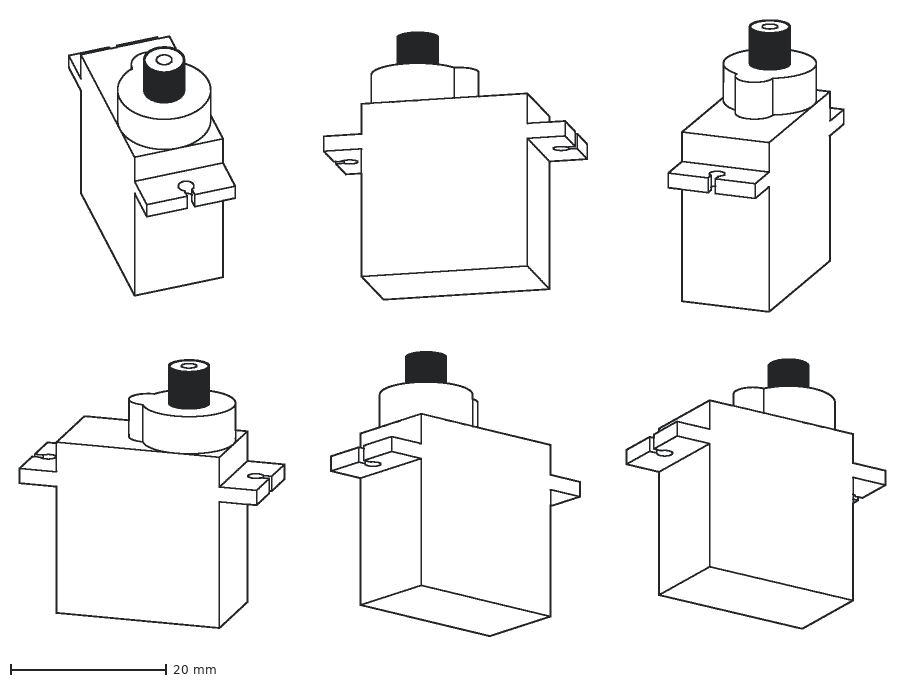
import cadquery as cq
import math

case_length = 22.0
case_width = 12.0
case_height = 23.0

ear_overhang = 5.0
ear_thickness = 2.0
ear_bottom = 17.0
screw_hole_diameter = 2.0
screw_hole_inset = 2.0
screw_slot_width = 1.0

housing_height = 5.0
housing_radius = case_width / 2
housing_x = case_length / 2 - housing_radius
lobe_radius = 2.5
lobe_x = -0.5

shaft_height = 5.0
spline_tip_radius = 2.62
spline_root_radius = 2.5
spline_tooth_count = 72
shaft_hole_diameter = 2.0
shaft_hole_depth = shaft_height

plate_length = case_length + 2 * ear_overhang
housing_top = case_height + housing_height
shaft_top = housing_top + shaft_height


def make_case():
    return cq.Workplane("XY").box(case_length, case_width, case_height, centered=(True, True, False))


def make_ear_plate():
    """Flat plate with a screw hole in each ear, open to the ear's end through a slot."""
    plate = (
        cq.Workplane("XY", origin=(0, 0, ear_bottom))
        .box(plate_length, case_width, ear_thickness, centered=(True, True, False))
    )
    for side in (-1, 1):
        hole_x = side * (plate_length / 2 - screw_hole_inset)
        slot_x = side * (plate_length / 2 - screw_hole_inset / 2)
        ear_plane = cq.Workplane("XY", origin=(0, 0, ear_bottom))
        hole = ear_plane.center(hole_x, 0).circle(screw_hole_diameter / 2).extrude(ear_thickness)
        slot = ear_plane.center(slot_x, 0).rect(screw_hole_inset, screw_slot_width).extrude(ear_thickness)
        plate = plate.cut(hole).cut(slot)
    return plate


def make_gear_housing():
    base = cq.Workplane("XY", origin=(0, 0, case_height))
    main_round = base.center(housing_x, 0).circle(housing_radius).extrude(housing_height)
    lobe = base.center(lobe_x, 0).circle(lobe_radius).extrude(housing_height)
    return main_round.union(lobe)


def shaft_point(radius, angle):
    return (radius * math.cos(angle), radius * math.sin(angle))


def make_output_shaft():
    """Shaft with fine square teeth; each tooth and each gap spans half of the angular pitch."""
    pitch = 2 * math.pi / spline_tooth_count
    outline = []
    for tooth in range(spline_tooth_count):
        tooth_start = (tooth - 1 / 4) * pitch
        tooth_end = tooth_start + pitch / 2
        next_tooth_start = tooth_start + pitch
        outline += [
            shaft_point(spline_tip_radius, tooth_start),
            shaft_point(spline_tip_radius, tooth_end),
            shaft_point(spline_root_radius, tooth_end),
            shaft_point(spline_root_radius, next_tooth_start),
        ]
    return (
        cq.Workplane("XY", origin=(housing_x, 0, housing_top))
        .polyline(outline)
        .close()
        .extrude(shaft_height)
    )


def make_shaft_hole():
    return (
        cq.Workplane("XY", origin=(housing_x, 0, shaft_top - shaft_hole_depth))
        .circle(shaft_hole_diameter / 2)
        .extrude(shaft_hole_depth)
    )


result = (
    make_case()
    .union(make_ear_plate())
    .union(make_gear_housing())
    .union(make_output_shaft())
    .cut(make_shaft_hole())
)